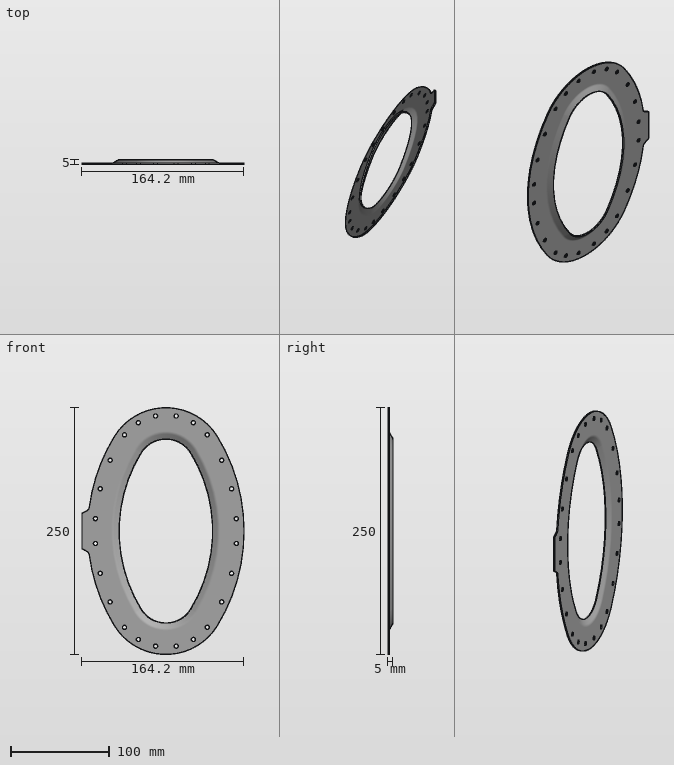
import cadquery as cq
import math

HALF_HEIGHT = 125.0
HALF_WIDTH = 79.2
DEPTH = 5.0
THICKNESS = 1.5

END_RADIUS = 61.2
END_CENTER = HALF_HEIGHT - END_RADIUS
WIDTH_EXCESS = HALF_WIDTH - END_RADIUS
SIDE_CENTER = (END_CENTER**2 - WIDTH_EXCESS**2) / (2 * WIDTH_EXCESS)
SIDE_RADIUS = HALF_WIDTH + SIDE_CENTER
SIDE_HALF_ANGLE = math.degrees(math.atan2(END_CENTER, SIDE_CENTER))
END_HALF_ANGLE = 90 - SIDE_HALF_ANGLE

FLAT_WIDTH = 24.2
LIP_ANGLE = math.radians(30)
BEND_INNER_RADIUS = 3.8

HOLE_DIAMETER = 4.0
HOLE_MARGIN = 7.5
SIDE_HOLE_ANGLES = (4.1, 14.1, 24.1)
END_HOLE_ANGLES = (11.2, 31.2, 51.2)

TAB_EDGE = -85.0
TAB_HALF_HEIGHT = 18.0
TAB_FLANK_ANGLE = math.radians(28)
TAB_ROOT = -72.5
TAB_CORNER_RADIUS = 1.2
TAB_ROOT_RADIUS = 5.0


def ring_section(outer_radius):
    """Radial section of flat ring, bend and sloping lip; x is the radius and y the depth."""
    bend_radius = outer_radius - FLAT_WIDTH
    bend_outer_radius = BEND_INNER_RADIUS + THICKNESS

    def on_bend(radius, angle):
        return (bend_radius - radius * math.sin(angle), bend_outer_radius - radius * math.cos(angle))

    front_bend_end = on_bend(bend_outer_radius, LIP_ANGLE)
    back_bend_end = on_bend(BEND_INNER_RADIUS, LIP_ANGLE)
    lip_length = (DEPTH - back_bend_end[1]) / math.sin(LIP_ANGLE)

    def lip_tip(start):
        return (start[0] - lip_length * math.cos(LIP_ANGLE), start[1] + lip_length * math.sin(LIP_ANGLE))

    return (
        cq.Workplane("XY")
        .moveTo(outer_radius, 0)
        .lineTo(bend_radius, 0)
        .threePointArc(on_bend(bend_outer_radius, LIP_ANGLE / 2), front_bend_end)
        .lineTo(*lip_tip(front_bend_end))
        .lineTo(*lip_tip(back_bend_end))
        .lineTo(*back_bend_end)
        .threePointArc(on_bend(BEND_INNER_RADIUS, LIP_ANGLE / 2), (bend_radius, THICKNESS))
        .lineTo(outer_radius, THICKNESS)
        .close()
    )


def ring_sector(outer_radius, half_angle, center_distance, direction):
    """One arc of the ring; direction is its angle about Y in degrees, 0 being +X."""
    return (
        ring_section(outer_radius)
        .revolve(2 * half_angle, (0, 0, 0), (0, 1, 0))
        .rotate((0, 0, 0), (0, 1, 0), -half_angle)
        .translate((center_distance, 0, 0))
        .rotate((0, 0, 0), (0, 1, 0), direction)
    )


def make_ring():
    ring = ring_sector(SIDE_RADIUS, SIDE_HALF_ANGLE, -SIDE_CENTER, 0)
    ring = ring.union(ring_sector(END_RADIUS, END_HALF_ANGLE, END_CENTER, 90))
    ring = ring.union(ring_sector(SIDE_RADIUS, SIDE_HALF_ANGLE, -SIDE_CENTER, 180))
    return ring.union(ring_sector(END_RADIUS, END_HALF_ANGLE, END_CENTER, 270))


def add_tab(ring):
    root_half_height = TAB_HALF_HEIGHT + (TAB_ROOT - TAB_EDGE) * math.tan(TAB_FLANK_ANGLE)
    tab = (
        cq.Workplane("XZ")
        .polyline([
            (TAB_ROOT, -root_half_height),
            (TAB_EDGE, -TAB_HALF_HEIGHT),
            (TAB_EDGE, TAB_HALF_HEIGHT),
            (TAB_ROOT, root_half_height),
        ])
        .close()
        .extrude(-THICKNESS)
        .edges("|Y and <X")
        .fillet(TAB_CORNER_RADIUS)
    )
    flank_distance = (
        (SIDE_CENTER - TAB_EDGE) * math.sin(TAB_FLANK_ANGLE)
        + TAB_HALF_HEIGHT * math.cos(TAB_FLANK_ANGLE)
    )
    root_angle = math.asin(flank_distance / SIDE_RADIUS) - TAB_FLANK_ANGLE
    root_x = SIDE_CENTER - SIDE_RADIUS * math.cos(root_angle)
    root_z = SIDE_RADIUS * math.sin(root_angle)
    part = ring.union(tab)
    for side in (-1, 1):
        root_edge = cq.selectors.NearestToPointSelector((root_x, THICKNESS / 2, side * root_z))
        part = part.edges("|Y").edges(root_edge).fillet(TAB_ROOT_RADIUS)
    return part


def hole_points():
    """Positions (X, Z) of the screw holes, mirrored into all four quadrants."""
    quadrant = []
    for degrees in SIDE_HOLE_ANGLES:
        angle = math.radians(degrees)
        radius = SIDE_RADIUS - HOLE_MARGIN
        quadrant.append((radius * math.cos(angle) - SIDE_CENTER, radius * math.sin(angle)))
    for degrees in END_HOLE_ANGLES:
        angle = math.radians(degrees)
        radius = END_RADIUS - HOLE_MARGIN
        quadrant.append((radius * math.sin(angle), END_CENTER + radius * math.cos(angle)))
    return [(sx * x, sz * z) for x, z in quadrant for sx in (-1, 1) for sz in (-1, 1)]


def make_holes():
    return cq.Workplane("XZ").pushPoints(hole_points()).circle(HOLE_DIAMETER / 2).extrude(-THICKNESS)


result = add_tab(make_ring()).cut(make_holes())